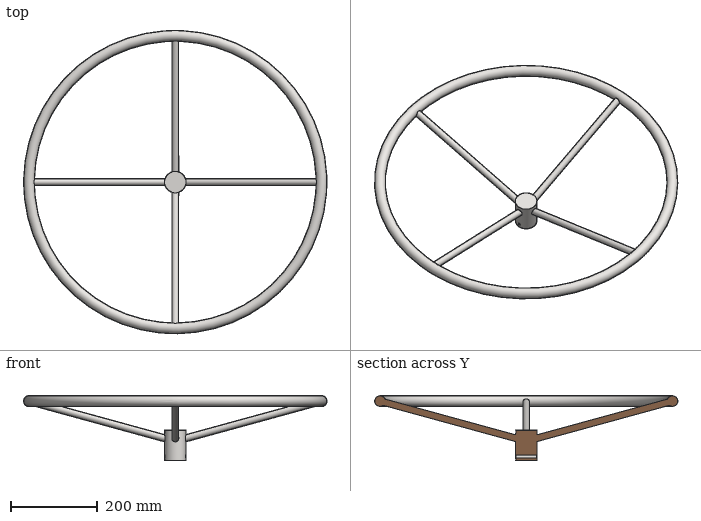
import cadquery as cq

outer_diameter = 700.0
total_height = 150.0

rim_tube_diameter = 25.0
rim_radius = (outer_diameter - rim_tube_diameter) / 2
rim_height = total_height - rim_tube_diameter / 2

hub_diameter = 50.0
hub_height = 70.0

spoke_count = 4
spoke_spacing = 360 / spoke_count
spoke_diameter = 16.0
spoke_start_height = 45.0

pin_hole_diameter = 6.0
pin_hole_height = 10.0


def make_rim():
    """Round ring, with its seam turned halfway between two spokes."""
    ring = cq.Solid.makeTorus(rim_radius, rim_tube_diameter / 2, cq.Vector(0, 0, rim_height))
    return cq.Workplane(ring).rotate((0, 0, 0), (0, 0, 1), spoke_spacing / 2)


def make_hub():
    return cq.Workplane("XY").circle(hub_diameter / 2).extrude(hub_height)


def make_spoke(turn):
    """Sloping round bar, turned about Z by the given angle in degrees."""
    start = cq.Vector(0, 0, spoke_start_height)
    axis = cq.Vector(rim_radius, 0, rim_height) - start
    bar = cq.Solid.makeCylinder(spoke_diameter / 2, axis.Length, start, axis)
    return cq.Workplane(bar).rotate((0, 0, 0), (0, 0, 1), turn)


def make_pin_hole():
    return (
        cq.Workplane("YZ", origin=(-hub_diameter / 2, 0, pin_hole_height))
        .circle(pin_hole_diameter / 2)
        .extrude(hub_diameter)
    )


wheel = make_hub()
for index in range(spoke_count):
    wheel = wheel.union(make_spoke(index * spoke_spacing), clean=False)
wheel = wheel.union(make_rim(), clean=False)

result = wheel.cut(make_pin_hole(), clean=False)